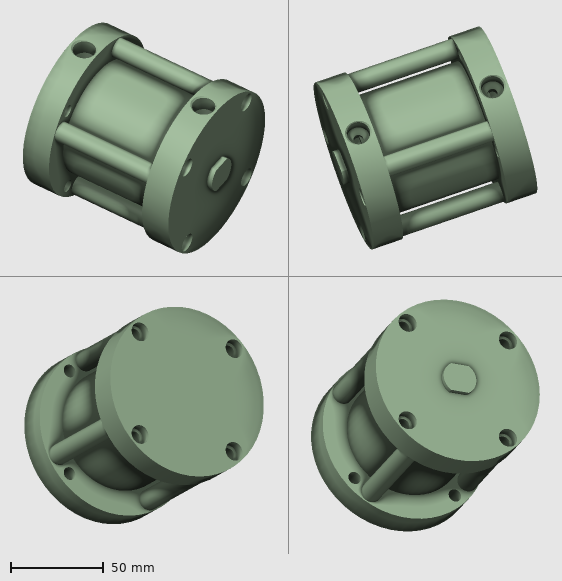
import cadquery as cq
import math

total_length = 97.0
rod_projection = 3.2
cap_thickness = 16.9
cap_diameter = 95.3
rear_cap_end = cap_thickness
front_cap_end = total_length - rod_projection
front_cap_start = front_cap_end - cap_thickness

barrel_diameter = 67.3
seat_depth = 7.2

bolt_circle_radius = 41.2
tie_rod_count = 4
tie_rod_diameter = 11.4
tie_rod_start_angle = 61.5

mount_hole_count = 4
mount_hole_start_angle = 45.0
mount_hole_diameter = 7.2
counterbore_diameter = 10.5
counterbore_depth = 6.4

port_mouth_diameter = 14.6
port_diameter = 12.6
port_chamfer = (port_mouth_diameter - port_diameter) / 2
port_depth = 9.7
passage_diameter = 5.4
passage_end_depth = 16.5
drill_tip_angle = 118.0

piston_rod_diameter = 19.0
flats_width = 16.0


def x_cylinder(diameter, start, end):
    return cq.Workplane("YZ", origin=(start, 0, 0)).circle(diameter / 2).extrude(end - start)


def ring_points(count, start_angle):
    """Points (Y, Z) evenly spaced on the bolt circle."""
    angles = [math.radians(start_angle + i * 360 / count) for i in range(count)]
    return [(bolt_circle_radius * math.cos(a), bolt_circle_radius * math.sin(a)) for a in angles]


def make_port_cutter():
    """Revolved port shape entering from the top of a cap, halfway along its thickness."""
    tip_slope = 1 / math.tan(math.radians(drill_tip_angle / 2))
    mouth_radius = port_mouth_diameter / 2
    port_radius = port_diameter / 2
    passage_radius = passage_diameter / 2
    top = cap_diameter / 2
    port_floor = top - port_depth
    passage_top = port_floor - (port_radius - passage_radius) * tip_slope
    passage_floor = top - passage_end_depth
    profile = [
        (0, top),
        (mouth_radius, top),
        (port_radius, top - port_chamfer),
        (port_radius, port_floor),
        (passage_radius, passage_top),
        (passage_radius, passage_floor),
        (0, passage_floor - passage_radius * tip_slope),
    ]
    cutter = cq.Workplane("XZ").polyline(profile).close().revolve(360, (0, 0, 0), (0, 1, 0))
    return cutter.translate((cap_thickness / 2, 0, 0))


def make_rear_cap():
    """Cap with its outer face at X = 0 and its barrel recess facing +X."""
    cap = x_cylinder(cap_diameter, 0, cap_thickness)
    cap = cap.cut(x_cylinder(barrel_diameter, cap_thickness - seat_depth, cap_thickness))
    for y, z in ring_points(mount_hole_count, mount_hole_start_angle):
        cap = cap.cut(x_cylinder(mount_hole_diameter, 0, cap_thickness).translate((0, y, z)))
        cap = cap.cut(x_cylinder(counterbore_diameter, 0, counterbore_depth).translate((0, y, z)))
    return cap.cut(make_port_cutter())


def make_front_cap():
    """Mirror image of the rear cap, bored for the piston rod."""
    cap = make_rear_cap().mirror("YZ").translate((front_cap_end, 0, 0))
    return cap.cut(x_cylinder(piston_rod_diameter, front_cap_start, front_cap_end))


def make_barrel():
    return x_cylinder(barrel_diameter, rear_cap_end - seat_depth, front_cap_start + seat_depth)


def make_tie_rod(y, z):
    return x_cylinder(tie_rod_diameter, rear_cap_end, front_cap_start).translate((0, y, z))


def make_piston_rod():
    """Round rod from the barrel end through the front cap, flattened above and below where it projects."""
    shank = x_cylinder(piston_rod_diameter, front_cap_start + seat_depth, front_cap_end)
    tip = x_cylinder(piston_rod_diameter, front_cap_end, total_length)
    flats = cq.Workplane("XY").box(rod_projection, piston_rod_diameter, flats_width)
    flats = flats.translate((front_cap_end + rod_projection / 2, 0, 0))
    return shank.union(tip.intersect(flats))


rear_cap = make_rear_cap()
front_cap = make_front_cap()
barrel = make_barrel()
tie_rods = [make_tie_rod(y, z) for y, z in ring_points(tie_rod_count, tie_rod_start_angle)]
piston_rod = make_piston_rod()

result = cq.Compound.makeCompound(
    [
        rear_cap.val(),
        front_cap.val(),
        barrel.val(),
        *[tie_rod.val() for tie_rod in tie_rods],
        piston_rod.val(),
    ]
)